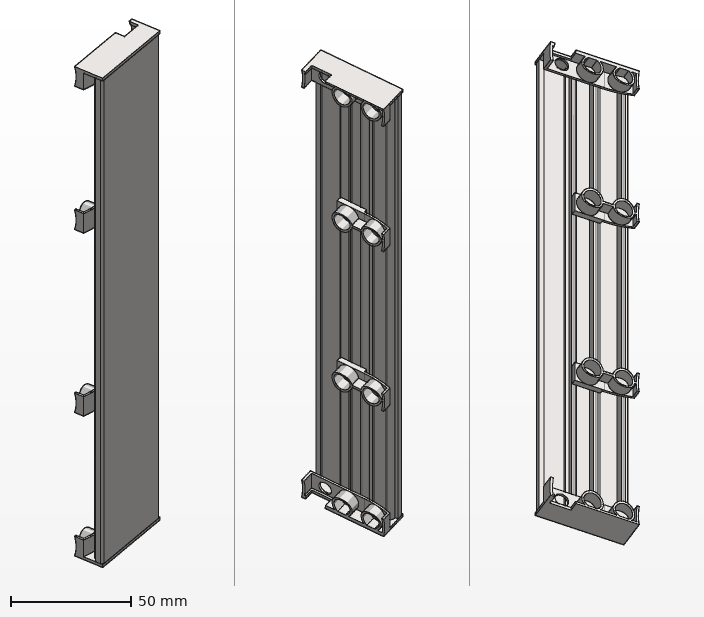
import cadquery as cq
import math

LENGTH = 252.0
WIDTH = 41.3
DEPTH = 14.4
FRONT_X = -DEPTH / 2
BACK_X = DEPTH / 2
HALF_WIDTH = WIDTH / 2

CAP_THICKNESS = 1.5
RAIL_LENGTH = LENGTH - 2 * CAP_THICKNESS
RAIL_FRONT_X = 1.0
RAIL_FLOOR_X = 4.8
RAIL_LEDGE_X = 3.5
RAIL_BACK_CHAMFER = 1.0
LEDGES = [(HALF_WIDTH, 18.5), (8.3, 3.3), (-3.5, -7.8), (-16.5, -HALF_WIDTH)]
RIB_WIDTH = 2.8
RIB_ROUNDING = 2.0
RIB_UPPER_SIDES_Y = (6.8, -3.5, -16.5)

BRACKET_HEIGHT = 10.0
PLATE_FRONT_X = -1.5
PLATE_BACK_X = -0.5
BEND_START_Y = -7.3
BEND_ANGLE = math.radians(17)
LIP_THICKNESS = 1.0
RING_CENTRES_Y = (0.8, -13.9)
RING_OUTER_DIAMETER = 10.0
RING_INNER_DIAMETER = 8.0
FRONT_HOLLOW_DEPTH = 0.8

HOOK_INNER_Y = 19.5
NOTCH_FLOOR_X = -2.5
NOTCH_UPPER_Y = 18.6
NOTCH_LOWER_Y = 8.8
SCREW_HOLE_DIAMETER = 6.3
SCREW_HOLE_Y = 12.5

MIDDLE_BRACKET_Z = 47.0
MIDDLE_TOP_Y = 6.5
FOOT_END_Y = -6.5
WEB_THICKNESS = 1.3


def box(x_range, y_range, z_range):
    """Axis-aligned block between two limits along each axis."""
    limits = (x_range, y_range, z_range)
    sizes = [abs(b - a) for a, b in limits]
    middle = tuple((a + b) / 2 for a, b in limits)
    return cq.Workplane("XY").box(*sizes).translate(middle)


def make_rail():
    """Base slab with raised ledges; all but the +Y ledge carry a rib rounded on its -Y side."""
    half = RAIL_LENGTH / 2
    z_range = (-half, half)
    rail = box((RAIL_FLOOR_X, BACK_X), (-HALF_WIDTH, HALF_WIDTH), z_range)
    for upper_y, lower_y in LEDGES:
        rail = rail.union(box((RAIL_LEDGE_X, BACK_X), (lower_y, upper_y), z_range))
    rail = rail.edges("|Z and >X").chamfer(RAIL_BACK_CHAMFER)
    for upper_y in RIB_UPPER_SIDES_Y:
        rib = box((RAIL_FRONT_X, RAIL_FLOOR_X), (upper_y - RIB_WIDTH, upper_y), z_range)
        rail = rail.union(rib.edges("|Z and <X and <Y").fillet(RIB_ROUNDING))
    return rail


def bracket_z_range():
    """Z limits of a bracket about its own middle."""
    return (-BRACKET_HEIGHT / 2, BRACKET_HEIGHT / 2)


def bracket_envelope(top_y):
    """Everything in front of the plate's back, which curls forward from BEND_START_Y to the -Y edge."""
    radius = (BEND_START_Y + HALF_WIDTH) / math.sin(BEND_ANGLE)

    def bend_point(angle):
        return (
            PLATE_BACK_X - radius * (1 - math.cos(angle)),
            BEND_START_Y - radius * math.sin(angle),
        )

    return (
        cq.Workplane("XY")
        .moveTo(FRONT_X, top_y)
        .lineTo(FRONT_X, -HALF_WIDTH)
        .lineTo(*bend_point(BEND_ANGLE))
        .threePointArc(bend_point(BEND_ANGLE / 2), bend_point(0))
        .lineTo(PLATE_BACK_X, top_y)
        .close()
        .extrude(BRACKET_HEIGHT / 2, both=True)
    )


def disc(diameter, y, x_range):
    """Cylinder along X."""
    start_x, end_x = x_range
    return cq.Workplane("YZ", origin=(start_x, y, 0)).circle(diameter / 2).extrude(end_x - start_x)


def make_body(top_y, extra_wall):
    """Curved plate with ring bosses, the -Y lip and one further wall standing on its front."""
    envelope = bracket_envelope(top_y)
    plate_thickness = PLATE_BACK_X - PLATE_FRONT_X
    plate = envelope.cut(envelope.translate((-plate_thickness, 0, 0)))
    wall_x = (FRONT_X, PLATE_BACK_X)
    lip = box(wall_x, (-HALF_WIDTH, LIP_THICKNESS - HALF_WIDTH), bracket_z_range())
    walls = extra_wall.union(lip)
    for y in RING_CENTRES_Y:
        walls = walls.union(disc(RING_OUTER_DIAMETER, y, wall_x))
    for y in RING_CENTRES_Y:
        walls = walls.cut(disc(RING_INNER_DIAMETER, y, wall_x))
    return plate.union(walls.intersect(envelope))


def hollow_cutter():
    """Cylinder along Y that hollows the front edges between the two Z sides of a bracket."""
    half = BRACKET_HEIGHT / 2
    radius = (half**2 + FRONT_HOLLOW_DEPTH**2) / (2 * FRONT_HOLLOW_DEPTH)
    axis_x = FRONT_X + FRONT_HOLLOW_DEPTH - radius
    return (
        cq.Workplane("XZ", origin=(axis_x, 0, 0)).circle(radius).extrude(HALF_WIDTH, both=True)
    )


def make_middle_bracket():
    web = box(
        (FRONT_X, PLATE_BACK_X),
        (-HALF_WIDTH, RING_CENTRES_Y[0]),
        (-WEB_THICKNESS / 2, WEB_THICKNESS / 2),
    )
    foot = box((PLATE_BACK_X, RAIL_FRONT_X), (FOOT_END_Y, MIDDLE_TOP_Y), bracket_z_range())
    return make_body(MIDDLE_TOP_Y, web).cut(hollow_cutter()).union(foot)


def make_end_bracket():
    """Bracket for the +Z end, with its cap on top; local Z is measured from the bracket middle."""
    top_z = BRACKET_HEIGHT / 2
    hook = box((FRONT_X, PLATE_BACK_X), (HOOK_INNER_Y, HALF_WIDTH), bracket_z_range())
    bracket = make_body(HALF_WIDTH, hook)
    cap_z = (top_z - CAP_THICKNESS, top_z)
    cap = box((FRONT_X, BACK_X), (-HALF_WIDTH, HALF_WIDTH), cap_z)
    cap = cap.cut(box((FRONT_X, NOTCH_FLOOR_X), (NOTCH_LOWER_Y, NOTCH_UPPER_Y), cap_z))
    screw_hole = disc(SCREW_HOLE_DIAMETER, SCREW_HOLE_Y, (PLATE_FRONT_X, PLATE_BACK_X))
    return bracket.union(cap).cut(hollow_cutter()).cut(screw_hole)


rail = make_rail()
middle_bracket = make_middle_bracket()
middle_brackets = [middle_bracket.translate((0, 0, side * MIDDLE_BRACKET_Z)) for side in (1, -1)]
top_bracket = make_end_bracket().translate((0, 0, (LENGTH - BRACKET_HEIGHT) / 2))
end_brackets = [top_bracket, top_bracket.mirror("XY")]

result = cq.Compound.makeCompound(
    [rail.val()] + [bracket.val() for bracket in middle_brackets + end_brackets]
)